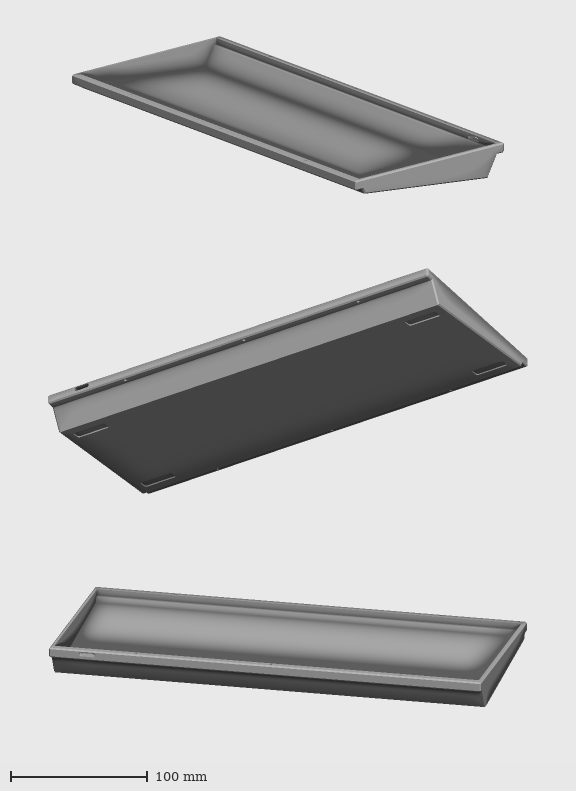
import cadquery as cq
import math

length = 326.0
depth = 141.5
height = 24.0
edge_chamfer = 1.0

rim_height = 7.5
rim_overhang = 6.5
knee_inset = 8.8
knee_height = 12.5
heel_inset = 15.5

end_wall = 3.0
rim_width = 5.5
ledge_drop = 5.0
front_ledge_width = 2.5
back_ledge_width = 3.0
floor_front_inset = 10.0
floor_back_inset = 17.5
floor_thickness = 3.0

screw_diameter = 2.2
screw_edge_distance = 3.0
back_screw_positions = (-101.7, -3.5, 98.0)

foot_length = 26.5
foot_width = 7.8
foot_depth = 1.0
foot_corner_radius = 1.5
foot_center_x = 142.0
foot_end_distance = 11.5

window_width = 12.5
window_height = 3.3
window_top_drop = 1.3
window_center_x = 134.0

front = -depth / 2
back = depth / 2
rim_bottom = height - rim_height
knee = (front + knee_inset, knee_height)
heel = (back - heel_inset, 0.0)
floor_run = heel[0] - knee[0]
floor_slope = knee_height / floor_run
floor_angle = math.atan(floor_slope)


def prism(points, width):
    """Extrude a Y-Z outline along X, centred on x = 0."""
    return cq.Workplane("YZ").polyline(points).close().extrude(width / 2, both=True)


def outer_body():
    """Solid tray with its ends and its outer rim faces chamfered all round."""
    outline = [
        (front, height),
        (front, rim_bottom),
        (front + rim_overhang, rim_bottom),
        knee,
        heel,
        (back - rim_overhang, rim_bottom),
        (back, rim_bottom),
        (back, height),
    ]
    body = prism(outline, length)
    return body.faces("<X or >X or <Y or >Y").edges().chamfer(edge_chamfer)


def floor_top(y):
    """Height of the inner floor, parallel to the sloping underside."""
    return (heel[0] - y) * floor_slope + floor_thickness / math.cos(floor_angle)


def cavity():
    """Recess with a level ledge, sloped front and back walls and a sloped floor."""
    ledge_level = height - ledge_drop
    front_ledge_y = front + rim_width + front_ledge_width
    back_ledge_y = back - rim_width - back_ledge_width
    front_floor_y = front + floor_front_inset
    back_floor_y = back - floor_back_inset
    outline = [
        (front + rim_width, height),
        (front + rim_width, ledge_level),
        (front_ledge_y, ledge_level),
        (front_floor_y, floor_top(front_floor_y)),
        (back_floor_y, floor_top(back_floor_y)),
        (back_ledge_y, ledge_level),
        (back - rim_width, ledge_level),
        (back - rim_width, height),
    ]
    return prism(outline, length - 2 * end_wall)


def screw_holes():
    """Hole pattern that repeats when turned half a turn about Z."""
    y = back - screw_edge_distance
    points = [(x, y) for x in back_screw_positions]
    points += [(-x, -y) for x in back_screw_positions]
    return cq.Workplane("XY").pushPoints(points).circle(screw_diameter / 2).extrude(height)


def foot_pockets():
    """Four round-cornered pockets cut square to the sloping underside."""
    underside = cq.Plane(
        origin=(0, heel[0], heel[1]),
        xDir=(1, 0, 0),
        normal=(0, math.sin(floor_angle), math.cos(floor_angle)),
    )
    slope_length = floor_run / math.cos(floor_angle)
    points = [
        (side * foot_center_x, -along)
        for side in (-1, 1)
        for along in (foot_end_distance, slope_length - foot_end_distance)
    ]
    pockets = cq.Workplane(underside).pushPoints(points).rect(foot_length, foot_width).extrude(foot_depth)
    upright_edges = cq.selectors.ParallelDirSelector(underside.zDir)
    return pockets.edges(upright_edges).fillet(foot_corner_radius)


def cable_window():
    """Round-ended slot through the rim into the cavity."""
    middle_z = height - window_top_drop - window_height / 2
    outside = cq.Plane(origin=(window_center_x, back, middle_z), xDir=(1, 0, 0), normal=(0, -1, 0))
    return cq.Workplane(outside).slot2D(window_width, window_height).extrude(rim_width)


result = outer_body().cut(cavity()).cut(screw_holes()).cut(foot_pockets()).cut(cable_window())